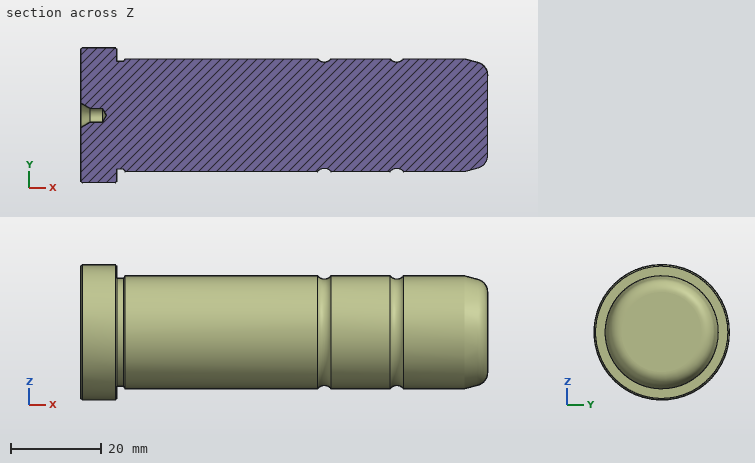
import cadquery as cq
import math

length = 90.0
head_radius = 30.0 / 2
head_length = 8.0
head_chamfer = 0.4

shaft_radius = 12.5
neck_radius = 12.0
neck_end = 9.45
shaft_start = 9.8

groove_start = 52.4
groove_width = 3.0
groove_depth = 0.7
groove_pitch = 16.0
groove_count = 2

nose_start = 84.9
nose_angle = math.radians(15)
nose_round = 3.0

countersink_diameter = 5.4
countersink_angle = math.radians(60)
pilot_diameter = 3.0
pilot_length = 2.7
drill_tip_angle = math.radians(120)


def cone_depth(radius_change, included_angle):
    """Axial length over which a cone changes radius."""
    return radius_change / math.tan(included_angle / 2)


def make_body():
    """Revolve the head, relieved neck, grooved shaft and nose around X."""
    profile = (
        cq.Workplane("XY")
        .moveTo(0, 0)
        .lineTo(0, head_radius - head_chamfer)
        .lineTo(head_chamfer, head_radius)
        .lineTo(head_length - head_chamfer, head_radius)
        .lineTo(head_length, head_radius - head_chamfer)
        .lineTo(head_length, neck_radius)
        .lineTo(neck_end, neck_radius)
        .lineTo(shaft_start, shaft_radius)
    )
    for index in range(groove_count):
        start = groove_start + index * groove_pitch
        profile = profile.lineTo(start, shaft_radius).threePointArc(
            (start + groove_width / 2, shaft_radius - groove_depth),
            (start + groove_width, shaft_radius),
        )

    round_center_x = length - nose_round
    round_start_x = round_center_x + nose_round * math.sin(nose_angle)
    round_start_radius = shaft_radius - (round_start_x - nose_start) * math.tan(nose_angle)
    round_center_radius = round_start_radius - nose_round * math.cos(nose_angle)
    middle_angle = (math.pi / 2 - nose_angle) / 2
    round_middle = (
        round_center_x + nose_round * math.cos(middle_angle),
        round_center_radius + nose_round * math.sin(middle_angle),
    )
    profile = (
        profile.lineTo(nose_start, shaft_radius)
        .lineTo(round_start_x, round_start_radius)
        .threePointArc(round_middle, (length, round_center_radius))
        .lineTo(length, 0)
        .close()
    )
    return profile.revolve(360, (0, 0, 0), (1, 0, 0))


def make_center_hole():
    """Countersink, pilot bore and conical drill tip."""
    mouth_radius = countersink_diameter / 2
    pilot_radius = pilot_diameter / 2
    pilot_start = cone_depth(mouth_radius - pilot_radius, countersink_angle)
    pilot_end = pilot_start + pilot_length
    tip = pilot_end + cone_depth(pilot_radius, drill_tip_angle)
    outline = [
        (0, 0),
        (0, mouth_radius),
        (pilot_start, pilot_radius),
        (pilot_end, pilot_radius),
        (tip, 0),
    ]
    return cq.Workplane("XY").polyline(outline).close().revolve(360, (0, 0, 0), (1, 0, 0))


result = make_body().cut(make_center_hole())